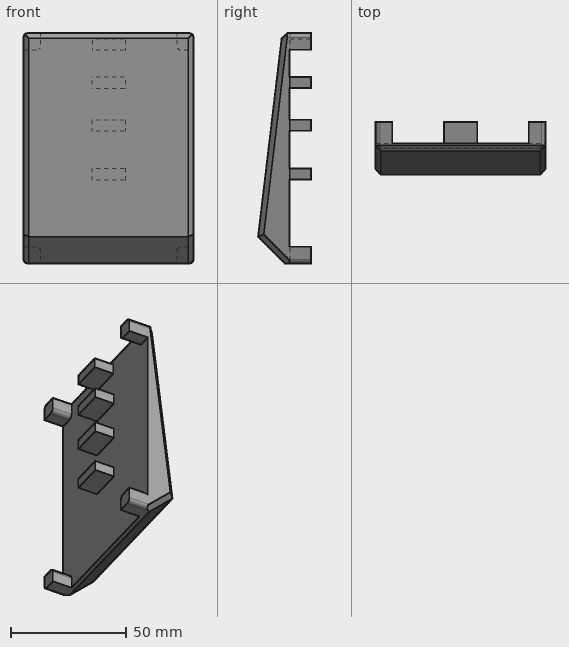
import cadquery as cq

width = 73.8
depth = 23.0
height = 100.0

foot_length = 9.3
back_y = depth - foot_length
bottom_edge_y = 11.7
lip_height = bottom_edge_y
top_edge_y = 10.5
edge_chamfer = 2.4
selection_margin = 1.0
corner_radius = 3.9 / 2

foot_width = 7.4
foot_height = 7.3
tab_width = 14.7
tab_height = 4.9
top_tab_left_inset = 0.4
tab_bottoms = (36.4, 57.5, 76.1)


def foot(x_min, x_size, z_min, z_size):
    """Rectangular foot that runs from the flat back to the rear plane."""
    return (
        cq.Workplane("XY")
        .box(x_size, foot_length, z_size, centered=False)
        .translate((x_min, back_y, z_min))
    )


cover = (
    cq.Workplane("YZ")
    .polyline([
        (back_y, 0),
        (bottom_edge_y, 0),
        (0, lip_height),
        (top_edge_y, height),
        (back_y, height),
    ])
    .close()
    .extrude(width / 2, both=True)
)

top_front_edge = cq.selectors.NearestToPointSelector((0, top_edge_y, height))
leaning_edges = cq.selectors.BoxSelector(
    (-width, 0, lip_height + selection_margin), (width, top_edge_y, height - selection_margin)
)
lower_edges = cq.selectors.BoxSelector(
    (-width, selection_margin, 0), (width, bottom_edge_y - selection_margin, lip_height)
)
cover = cover.edges(top_front_edge + leaning_edges + lower_edges).chamfer(edge_chamfer)

middle = cq.selectors.NearestToPointSelector((0, depth - foot_length / 2, height / 2))
for x_min in (-width / 2, width / 2 - foot_width):
    for z_min in (0, height - foot_height):
        corner_foot = foot(x_min, foot_width, z_min, foot_height)
        corner_foot = corner_foot.edges("|Y").edges(middle).fillet(corner_radius)
        cover = cover.union(corner_foot)

outline = (
    cq.Workplane("XY")
    .box(width, depth, height, centered=(True, False, False))
    .edges("|Y")
    .fillet(corner_radius)
)
cover = cover.intersect(outline)

for z_min in tab_bottoms:
    cover = cover.union(foot(-tab_width / 2, tab_width, z_min, tab_height))

top_tab_left = -tab_width / 2 + top_tab_left_inset
top_tab_width = tab_width - top_tab_left_inset
cover = cover.union(foot(top_tab_left, top_tab_width, height - foot_height, tab_height))

result = cover